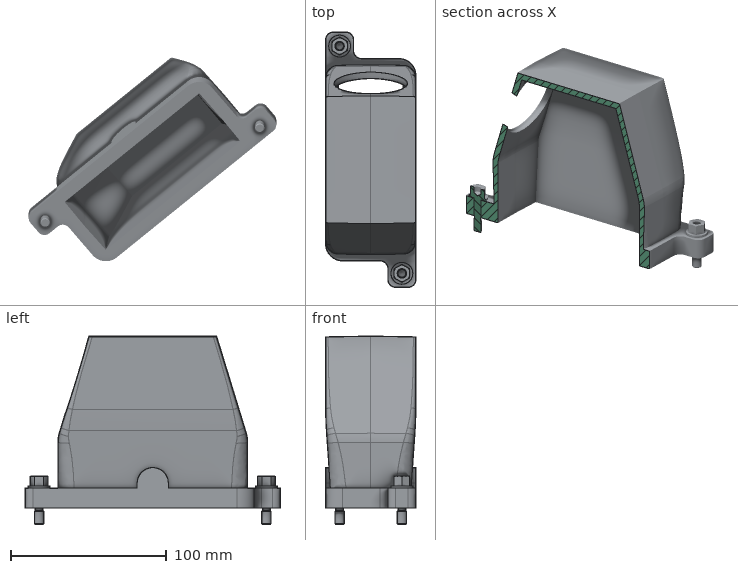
import cadquery as cq
import math

flange_half_width = 29.0
flange_half_length = 65.0
flange_thickness = 12.8
flange_corner_radius = 11.0
ear_width = 18.0
ear_end = 82.0
ear_radius = 5.0

hood_top = 110.5
hood_foot = -10.0
hood_half_length = 61.0
hood_top_half_length = 41.0
end_bend_height = hood_top - 65.3
end_bend_radius = 20.0
end_draft = 1.0
side_bend_height = hood_top - 54.0
side_bend_radius = 195.0
side_draft = 4.0
wall = 4.4

corner_radii = [10.2, 7.0, 5.7, 5.3, 3.3, 1.7]

entry_diameter = 47.0
entry_height = 83.0

pad_radius = 10.0
pad_center_height = 16.0
pad_inset = 4.0

screw_x = 20.0
screw_y = 73.0
screw_places = [(-screw_x, screw_y), (screw_x, -screw_y)]
head_sides = 6
head_across_flats = 10.0
head_height = 6.2
head_edge_chamfer = 0.5
washer_diameter = 14.0
washer_thickness = 1.5
neck_diameter = 5.0
neck_end = -1.5
thread_diameter = 6.0
thread_start = -2.3
thread_end = -10.5
thread_chamfer = 0.5
bore_diameter = 5.0
bore_depth = 4.0
bore_chamfer = 0.5
bore_tip_angle = 118.0

end_slope = (hood_half_length - hood_top_half_length) / (hood_top - end_bend_height)
end_tilt = math.degrees(math.atan(end_slope))


def bend_distances(radius, turn):
    """Distances from a sharp corner to the ends and to the middle of the arc that rounds it."""
    half_turn = math.radians(turn) / 2
    setback = radius * math.tan(half_turn)
    middle = radius * (1 / math.cos(half_turn) - 1)
    return setback, middle


def end_profile(inset):
    """YZ outline of the hood: upright ends that bend into sloping ones, moved inward by inset."""
    setback, middle = bend_distances(end_bend_radius, end_tilt)
    tilt = math.radians(end_tilt)
    y = hood_half_length
    z = end_bend_height
    low = (y, z - setback)
    mid = (y - middle * math.cos(tilt / 2), z - middle * math.sin(tilt / 2))
    high = (y - setback * math.sin(tilt), z + setback * math.cos(tilt))
    outline = (
        cq.Workplane("YZ")
        .moveTo(-y, hood_foot)
        .lineTo(y, hood_foot)
        .lineTo(*low)
        .threePointArc(mid, high)
        .lineTo(hood_top_half_length, hood_top)
        .lineTo(-hood_top_half_length, hood_top)
        .lineTo(-high[0], high[1])
        .threePointArc((-mid[0], mid[1]), (-low[0], low[1]))
        .close()
    )
    if inset:
        outline = outline.offset2D(-inset)
    return outline


def side_profile(inset):
    """XZ outline of the hood: upright sides that bend inward below, moved inward by inset."""
    setback, middle = bend_distances(side_bend_radius, side_draft)
    draft = math.radians(side_draft)
    x = flange_half_width - inset
    z = side_bend_height
    foot_x = x - (z - hood_foot) * math.tan(draft)
    low = (x - setback * math.sin(draft), z - setback * math.cos(draft))
    mid = (x - middle * math.cos(draft / 2), z + middle * math.sin(draft / 2))
    high = (x, z + setback)
    return (
        cq.Workplane("XZ")
        .moveTo(-foot_x, hood_foot)
        .lineTo(foot_x, hood_foot)
        .lineTo(*low)
        .threePointArc(mid, high)
        .lineTo(x, hood_top)
        .lineTo(-x, hood_top)
        .lineTo(-high[0], high[1])
        .threePointArc((-mid[0], mid[1]), (-low[0], low[1]))
        .close()
    )


def hood_block(inset):
    """Solid hood with sharp corners; its top and ends slope away from a ridge along x = 0."""
    half = end_profile(inset).extrude(flange_half_width, taper=end_draft)
    block = half.union(half.mirror("YZ"))
    return block.intersect(side_profile(inset).extrude(hood_half_length, both=True))


def round_corners(block):
    """Round the four corner edges of the hood with a radius that grows toward the flange."""
    solid = block.solids().val()
    fillet = cq.occ_impl.shapes.BRepFilletAPI_MakeFillet(solid.wrapped)
    ridge_drop = 1.0
    for x_side in (-1, 1):
        for y_side in (-1, 1):
            edges = [
                edge
                for edge in solid.Edges()
                if edge.Center().x * x_side > wall
                and edge.Center().y * y_side > wall
                and edge.BoundingBox().zlen > ridge_drop
            ]
            lowest = min(edges, key=lambda edge: edge.Center().z)
            fillet.Add(lowest.wrapped)
            contour = fillet.NbContours()
            corners = {vertex for edge in edges for vertex in edge.Vertices()}
            upward = sorted(corners, key=lambda vertex: vertex.Z)
            for vertex, radius in zip(upward, corner_radii):
                fillet.SetRadius(radius, contour, vertex.wrapped)
    return cq.Workplane(cq.Shape.cast(fillet.Shape()))


def vertical_edge_at(x, y):
    """Selector for the upright flange edge at (x, y)."""
    reach = 0.5
    return cq.selectors.BoxSelector(
        (x - reach, y - reach, 0), (x + reach, y + reach, flange_thickness)
    )


def make_flange():
    """Base plate with a screw ear at -X, +Y and another at +X, -Y."""
    ear_inner = flange_half_width - ear_width
    outline = [
        (-flange_half_width, ear_end),
        (-ear_inner, ear_end),
        (-ear_inner, flange_half_length),
        (flange_half_width, flange_half_length),
        (flange_half_width, -ear_end),
        (ear_inner, -ear_end),
        (ear_inner, -flange_half_length),
        (-flange_half_width, -flange_half_length),
    ]
    flange = cq.Workplane("XY").polyline(outline).close().extrude(flange_thickness)
    for side in (-1, 1):
        main_corner = (side * flange_half_width, side * flange_half_length)
        ear_corners = [
            (-side * flange_half_width, side * ear_end),
            (-side * ear_inner, side * ear_end),
            (-side * ear_inner, side * flange_half_length),
        ]
        flange = flange.edges(vertical_edge_at(*main_corner)).fillet(flange_corner_radius)
        for corner in ear_corners:
            flange = flange.edges(vertical_edge_at(*corner)).fillet(ear_radius)
    return flange


def make_pads():
    """Round-topped pads on both long sides, flush with the flange."""
    pad = (
        cq.Workplane("YZ")
        .workplane(offset=flange_half_width - pad_inset)
        .moveTo(-pad_radius, 0)
        .lineTo(pad_radius, 0)
        .lineTo(pad_radius, pad_center_height)
        .threePointArc((0, pad_center_height + pad_radius), (-pad_radius, pad_center_height))
        .close()
        .extrude(pad_inset)
    )
    return pad.union(pad.mirror("YZ"))


def make_entry_cutter():
    """Cylinder square to the sloping +Y wall, long enough to pass through it."""
    wall_y = hood_top_half_length + (hood_top - entry_height) * end_slope
    tilt = math.radians(end_tilt)
    outward = cq.Vector(0, math.cos(tilt), math.sin(tilt))
    center = cq.Vector(0, wall_y, entry_height)
    reach = 2 * wall
    cutter = cq.Solid.makeCylinder(
        entry_diameter / 2, 2 * reach, center - outward * reach, outward
    )
    return cq.Workplane(cutter)


def make_housing():
    """Hollow hood on its flange, open at the bottom."""
    span = 2 * ear_end
    above_flange = (
        cq.Workplane("XY")
        .workplane(offset=flange_thickness)
        .rect(span, span)
        .extrude(hood_top)
    )
    hood = round_corners(hood_block(0).intersect(above_flange))
    screw_holes = (
        cq.Workplane("XY")
        .pushPoints(screw_places)
        .circle(neck_diameter / 2)
        .extrude(flange_thickness)
    )
    return (
        make_flange()
        .union(make_pads())
        .union(hood)
        .cut(hood_block(wall))
        .cut(make_entry_cutter())
        .cut(screw_holes)
    )


def make_screw(x, y):
    """Hex-head screw with a fixed washer, a thinner neck and a threaded bore in its head."""
    washer_top = flange_thickness + washer_thickness
    head_top = washer_top + head_height
    hex_half_angle = 180 / head_sides
    across_corners = head_across_flats / math.cos(math.radians(hex_half_angle))
    head = (
        cq.Workplane("XY")
        .workplane(offset=washer_top)
        .polygon(head_sides, across_corners)
        .extrude(head_height)
        .rotate((0, 0, 0), (0, 0, 1), hex_half_angle)
    )
    turned_blank = (
        cq.Workplane("XY")
        .workplane(offset=washer_top)
        .circle(across_corners / 2)
        .extrude(head_height)
        .faces(">Z")
        .chamfer(head_edge_chamfer / 2, head_edge_chamfer)
    )
    shank = (
        cq.Workplane("XZ")
        .moveTo(0, washer_top)
        .lineTo(washer_diameter / 2, washer_top)
        .lineTo(washer_diameter / 2, flange_thickness)
        .lineTo(neck_diameter / 2, flange_thickness)
        .lineTo(neck_diameter / 2, neck_end)
        .lineTo(thread_diameter / 2, thread_start)
        .lineTo(thread_diameter / 2, thread_end + thread_chamfer)
        .lineTo(thread_diameter / 2 - thread_chamfer, thread_end)
        .lineTo(0, thread_end)
        .close()
        .revolve(360, (0, 0), (0, 1))
    )
    bore_radius = bore_diameter / 2
    tip_depth = bore_radius / math.tan(math.radians(bore_tip_angle / 2))
    bore = (
        cq.Workplane("XZ")
        .moveTo(0, head_top)
        .lineTo(bore_radius + bore_chamfer, head_top)
        .lineTo(bore_radius, head_top - bore_chamfer)
        .lineTo(bore_radius, head_top - bore_depth)
        .lineTo(0, head_top - bore_depth - tip_depth)
        .close()
        .revolve(360, (0, 0), (0, 1))
    )
    return shank.union(head.intersect(turned_blank)).cut(bore).translate((x, y, 0))


housing = make_housing()
screws = [make_screw(x, y) for x, y in screw_places]

result = cq.Compound.makeCompound(
    [housing.solids().val(), *[screw.solids().val() for screw in screws]]
)